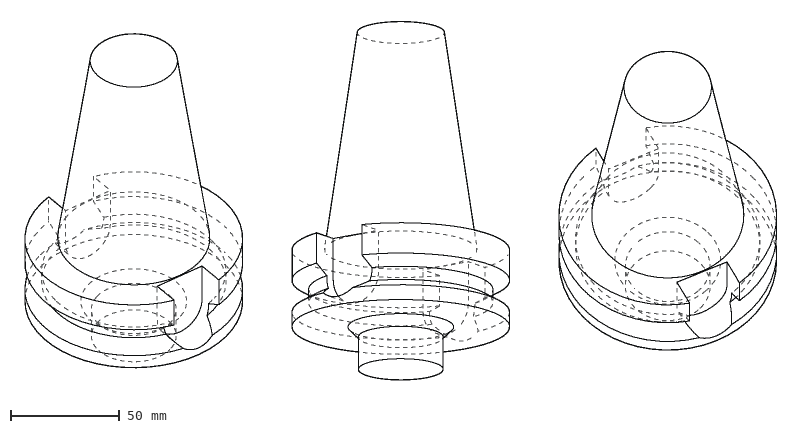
import cadquery as cq

NOSE_TOP = 15.3
FLANGE_BOTTOM = 20.1
LOWER_RIM_TOP = 27.2
GROOVE_BOTTOM = 31.6
GROOVE_TOP = 37.9
UPPER_RIM_BOTTOM = 42.2
FLANGE_TOP = 56.5
GAUGE_LINE = 58.0
TOTAL_HEIGHT = 159.8

NOSE_DIAMETER = 39.0
COLLAR_DIAMETER = 48.5
FLANGE_DIAMETER = 100.0
GROOVE_DIAMETER = 84.7
GAUGE_DIAMETER = 69.8
TAPER_RATIO = 7 / 24
TAPER_END_DIAMETER = GAUGE_DIAMETER - TAPER_RATIO * (TOTAL_HEIGHT - GAUGE_LINE)

SLOT_WIDTH = 25.5
SLOT_BOTTOM = 24.1
SLOT_FLOOR = 35.3


def make_body():
    """Revolve the half profile of the tool holder about Z."""
    profile = [
        (NOSE_DIAMETER, 0),
        (NOSE_DIAMETER, NOSE_TOP),
        (COLLAR_DIAMETER, FLANGE_BOTTOM),
        (FLANGE_DIAMETER, FLANGE_BOTTOM),
        (FLANGE_DIAMETER, LOWER_RIM_TOP),
        (GROOVE_DIAMETER, GROOVE_BOTTOM),
        (GROOVE_DIAMETER, GROOVE_TOP),
        (FLANGE_DIAMETER, UPPER_RIM_BOTTOM),
        (FLANGE_DIAMETER, FLANGE_TOP),
        (GAUGE_DIAMETER, FLANGE_TOP),
        (GAUGE_DIAMETER, GAUGE_LINE),
        (TAPER_END_DIAMETER, TOTAL_HEIGHT),
    ]
    points = [(0, 0)] + [(d / 2, z) for d, z in profile] + [(0, TOTAL_HEIGHT)]
    return cq.Workplane("XZ").polyline(points).close().revolve(360, (0, 0), (0, 1))


def make_slot(side):
    """Cutter for one drive slot; side is +1 for +X and -1 for -X."""
    radius = SLOT_WIDTH / 2
    center_height = SLOT_BOTTOM + radius
    return (
        cq.Workplane("YZ", origin=(side * SLOT_FLOOR, 0, 0))
        .moveTo(-radius, FLANGE_TOP)
        .lineTo(-radius, center_height)
        .threePointArc((0, SLOT_BOTTOM), (radius, center_height))
        .lineTo(radius, FLANGE_TOP)
        .close()
        .extrude(side * FLANGE_DIAMETER / 2)
    )


result = make_body()
for slot_side in (1, -1):
    result = result.cut(make_slot(slot_side))